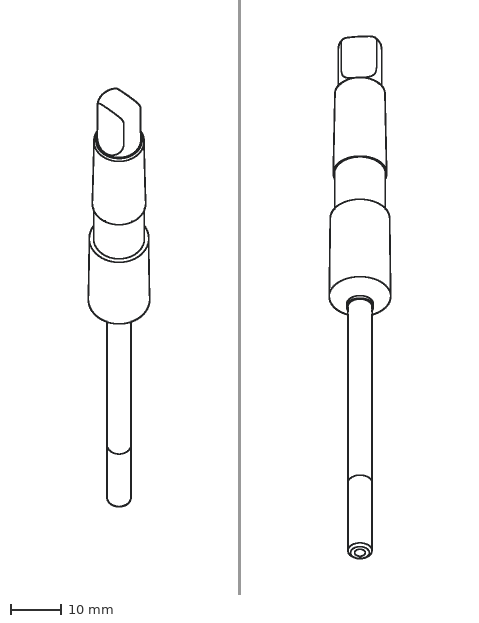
import cadquery as cq
import math

TOTAL_LENGTH = 133.0
TANG_BASE_Z = 120.4
UPPER_TAPER_BOTTOM_Z = 99.4
LOWER_TAPER_TOP_Z = 87.6
LOWER_TAPER_BOTTOM_Z = 67.4
NOSE_BOTTOM_Z = 65.5
COLLAR_BOTTOM_Z = 64.8
CUTTER_TOP_Z = 19.2
CHAMFER_TOP_Z = 1.6

TANG_RADIUS = 8.6 / 2
TANG_TOP_ROUNDING = 1.0
TANG_DOME_HEIGHT = 0.5
UPPER_TAPER_TOP_RADIUS = 10.0 / 2
UPPER_TAPER_BOTTOM_RADIUS = 5.3
NECK_RADIUS = 10.1 / 2
LOWER_TAPER_TOP_RADIUS = 11.8 / 2
LOWER_TAPER_BOTTOM_RADIUS = 12.2 / 2
SHOULDER_CHAMFER = 0.4
COLLAR_RADIUS = 2.7
STEM_RADIUS = 4.8 / 2

FLAT_HALF_SPACING = 2.5
FLAT_ANGLE = 20.0
FLAT_RUNOUT_RADIUS = 5.3
FLAT_BOTTOM_Z = 124.5

CUTTER_RADIUS = STEM_RADIUS
CUTTER_CHAMFER = 0.5
TIP_RADIUS = CHAMFER_TOP_Z - CUTTER_CHAMFER


def revolve_profile(points):
    """Revolve a closed (radius, height) outline about the Z axis."""
    outline = cq.Workplane("XZ").polyline(points).close()
    return outline.revolve(360, (0, 0, 0), (0, 1, 0))


def make_flat_cutter():
    """Bar that cuts one flat, ending in a concave run-out tangent to the flat."""
    depth = TANG_RADIUS - FLAT_HALF_SPACING
    runout_height = math.sqrt(2 * FLAT_RUNOUT_RADIUS * depth - depth**2)
    half_angle = math.asin(runout_height / FLAT_RUNOUT_RADIUS) / 2
    middle = (
        FLAT_HALF_SPACING + FLAT_RUNOUT_RADIUS * (1 - math.cos(half_angle)),
        FLAT_BOTTOM_Z - FLAT_RUNOUT_RADIUS * math.sin(half_angle),
    )
    return (
        cq.Workplane("YZ")
        .moveTo(FLAT_HALF_SPACING, TOTAL_LENGTH)
        .lineTo(FLAT_HALF_SPACING, FLAT_BOTTOM_Z)
        .threePointArc(middle, (TANG_RADIUS, FLAT_BOTTOM_Z - runout_height))
        .lineTo(TANG_RADIUS, TOTAL_LENGTH)
        .close()
        .extrude(TANG_RADIUS, both=True)
    )


def make_tang():
    """Round tang with a shallow conical top, a rounded rim and two opposite flats."""
    tang = revolve_profile([
        (0, TANG_BASE_Z),
        (TANG_RADIUS, TANG_BASE_Z),
        (TANG_RADIUS, TOTAL_LENGTH - TANG_DOME_HEIGHT),
        (0, TOTAL_LENGTH),
    ])
    rim = cq.selectors.RadiusNthSelector(-1)
    tang = tang.faces(">Z").edges(rim).fillet(TANG_TOP_ROUNDING)
    flat_cutter = make_flat_cutter()
    for side_angle in (0, 180):
        tang = tang.cut(flat_cutter.rotate((0, 0, 0), (0, 0, 1), FLAT_ANGLE + side_angle))
    return tang


def make_shank():
    """Tang, two tapers joined by a neck, and a conical nose leading through a collar to the stem."""
    body = revolve_profile([
        (0, TANG_BASE_Z),
        (UPPER_TAPER_TOP_RADIUS - SHOULDER_CHAMFER, TANG_BASE_Z),
        (UPPER_TAPER_TOP_RADIUS, TANG_BASE_Z - SHOULDER_CHAMFER),
        (UPPER_TAPER_BOTTOM_RADIUS, UPPER_TAPER_BOTTOM_Z),
        (NECK_RADIUS, UPPER_TAPER_BOTTOM_Z),
        (NECK_RADIUS, LOWER_TAPER_TOP_Z),
        (LOWER_TAPER_TOP_RADIUS, LOWER_TAPER_TOP_Z),
        (LOWER_TAPER_BOTTOM_RADIUS, LOWER_TAPER_BOTTOM_Z),
        (COLLAR_RADIUS, NOSE_BOTTOM_Z),
        (COLLAR_RADIUS, COLLAR_BOTTOM_Z),
        (STEM_RADIUS, COLLAR_BOTTOM_Z),
        (STEM_RADIUS, CUTTER_TOP_Z),
        (0, CUTTER_TOP_Z),
    ])
    return body.union(make_tang())


def make_cutter():
    """Cylindrical cutter flush with the stem, with a chamfered end and a pointed conical tip."""
    return revolve_profile([
        (0, CUTTER_TOP_Z),
        (CUTTER_RADIUS, CUTTER_TOP_Z),
        (CUTTER_RADIUS, CHAMFER_TOP_Z),
        (CUTTER_RADIUS - CUTTER_CHAMFER, CHAMFER_TOP_Z - CUTTER_CHAMFER),
        (TIP_RADIUS, CHAMFER_TOP_Z - CUTTER_CHAMFER),
        (0, 0),
    ])


shank = make_shank()
cutter = make_cutter()

result = cq.Compound.makeCompound([shank.val(), cutter.val()])